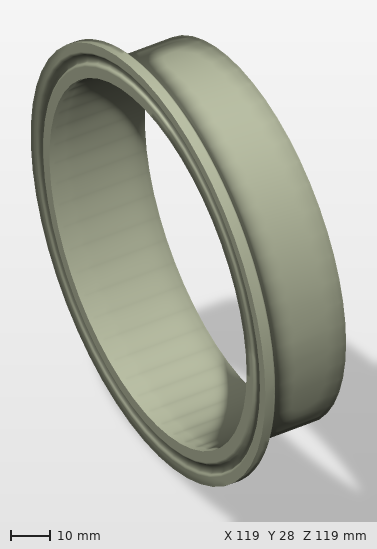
import cadquery as cq
import math

length = 28.0
bore_radius = 50.0
tube_radius = 52.0
flange_radius = 59.5

rim_edge_y = 3.0
taper_angle = 20.0
rim_round = 0.7
neck_fillet = 1.9

groove_radius = 55.0
groove_depth = 1.4
groove_floor_radius = 1.3
lip_round = 0.7

taper_rise = (flange_radius - tube_radius) * math.tan(math.radians(taper_angle))
neck_y = rim_edge_y + taper_rise


def revolve_about_y(profile):
    return profile.revolve(360, (0, 0, 0), (0, 1, 0))


def circle_edges_at(radius, y):
    margin = 0.06
    return cq.selectors.BoxSelector(
        (-radius - margin, y - margin, -radius - margin),
        (radius + margin, y + margin, radius + margin),
        boundingbox=True,
    )


def make_body():
    profile = (
        cq.Workplane("XY")
        .moveTo(bore_radius, 0)
        .lineTo(flange_radius, 0)
        .lineTo(flange_radius, rim_edge_y)
        .lineTo(tube_radius, neck_y)
        .lineTo(tube_radius, length)
        .lineTo(bore_radius, length)
        .close()
    )
    body = revolve_about_y(profile)
    body = body.edges(circle_edges_at(flange_radius, rim_edge_y)).fillet(rim_round)
    return body.edges(circle_edges_at(tube_radius, neck_y)).fillet(neck_fillet)


def make_groove():
    """Round-bottomed groove whose floor arc runs tangent into convex lip arcs."""
    floor_y = groove_depth - groove_floor_radius
    center_rise = lip_round - floor_y
    center_gap = groove_floor_radius + lip_round
    lip_offset = math.sqrt(center_gap**2 - center_rise**2)
    lip_turn = math.acos(center_rise / center_gap)
    blend_offset = groove_floor_radius * math.sin(lip_turn)
    blend_y = floor_y + groove_floor_radius * math.cos(lip_turn)
    lip_middle_offset = lip_offset - lip_round * math.sin(lip_turn / 2)
    lip_middle_y = lip_round * (1 - math.cos(lip_turn / 2))
    profile = (
        cq.Workplane("XY")
        .moveTo(groove_radius - lip_offset, 0)
        .threePointArc(
            (groove_radius - lip_middle_offset, lip_middle_y),
            (groove_radius - blend_offset, blend_y),
        )
        .threePointArc((groove_radius, groove_depth), (groove_radius + blend_offset, blend_y))
        .threePointArc(
            (groove_radius + lip_middle_offset, lip_middle_y),
            (groove_radius + lip_offset, 0),
        )
        .close()
    )
    return revolve_about_y(profile)


result = make_body().cut(make_groove())